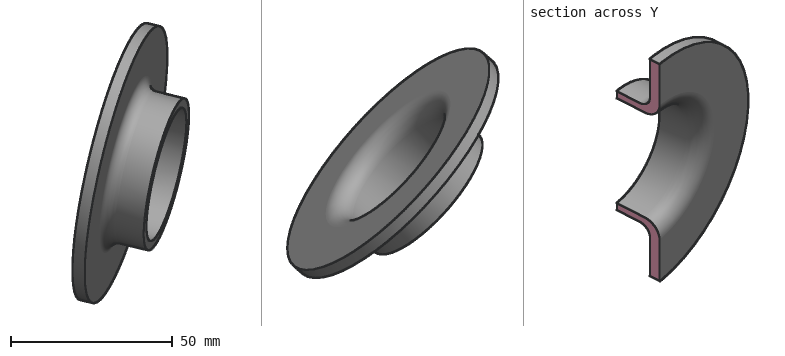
import cadquery as cq
import math

flange_diameter = 88.0
flange_thickness = 4.0
collar_outer_diameter = 48.3
collar_inner_diameter = 42.3
overall_length = 17.0
mouth_radius = 6.0
neck_fillet_radius = 4.0

flange_radius = flange_diameter / 2
outer_radius = collar_outer_diameter / 2
inner_radius = collar_inner_diameter / 2
mouth_edge = inner_radius + mouth_radius
neck_edge = outer_radius + neck_fillet_radius
neck_end = flange_thickness + neck_fillet_radius


def quarter_arc_middle(centre_x, centre_y, radius):
    """Middle of a quarter arc on the side of its centre facing the axis and the flange."""
    offset = radius * math.cos(math.pi / 4)
    return centre_x - offset, centre_y - offset


def make_flanged_collar():
    """Turn the half profile (x along the axis, y outward) about the X axis."""
    profile = (
        cq.Workplane("XY")
        .moveTo(0, mouth_edge)
        .lineTo(0, flange_radius)
        .lineTo(flange_thickness, flange_radius)
        .lineTo(flange_thickness, neck_edge)
        .threePointArc(
            quarter_arc_middle(neck_end, neck_edge, neck_fillet_radius),
            (neck_end, outer_radius),
        )
        .lineTo(overall_length, outer_radius)
        .lineTo(overall_length, inner_radius)
        .lineTo(mouth_radius, inner_radius)
        .threePointArc(
            quarter_arc_middle(mouth_radius, mouth_edge, mouth_radius),
            (0, mouth_edge),
        )
        .close()
    )
    return profile.revolve(360, (0, 0, 0), (1, 0, 0))


result = make_flanged_collar()